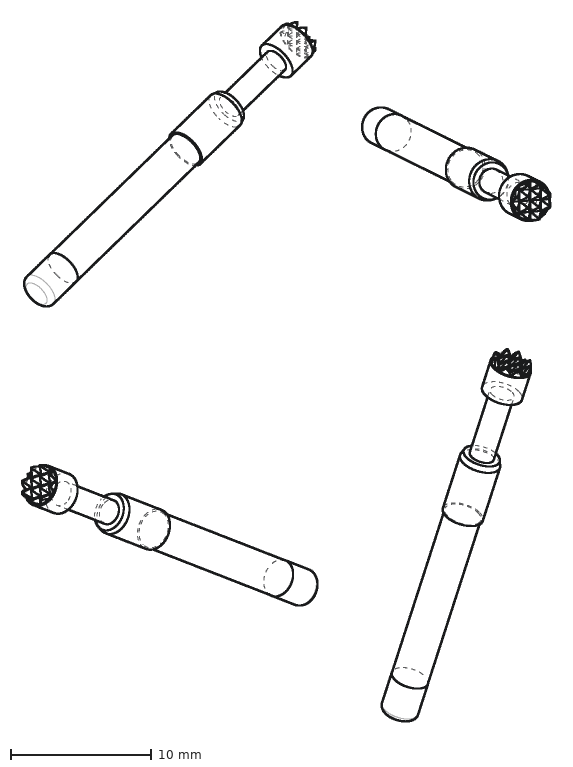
import cadquery as cq


barrel_radius = 1.35
barrel_length = 17.0
tail_radius = 1.36
tail_length = 3.0
tail_fillet = 0.4

collar_radius = 1.5
collar_length = 5.0
collar_nose_radius = 1.35
collar_taper_length = 0.45

plunger_radius = 0.9
tip_reach = 8.3
head_radius = 1.5
head_length = 2.3

teeth_per_row = 4
tooth_pitch = 0.82
tooth_height = 0.64
crown_radius = 1.41

tail_end_y = -barrel_length
tail_front_y = tail_end_y + tail_length
collar_front_y = collar_length
crown_tip_y = collar_front_y + tip_reach
head_front_y = crown_tip_y - tooth_height
head_rear_y = head_front_y - head_length


def make_turned_body():
    """Revolve the stepped half outline about the Y axis."""
    outline = (
        cq.Workplane("XY")
        .moveTo(0, tail_end_y)
        .lineTo(tail_radius - tail_fillet, tail_end_y)
        .radiusArc((tail_radius, tail_end_y + tail_fillet), -tail_fillet)
        .lineTo(tail_radius, tail_front_y)
        .lineTo(barrel_radius, tail_front_y)
        .lineTo(barrel_radius, 0)
        .lineTo(collar_radius, 0)
        .lineTo(collar_radius, collar_front_y - collar_taper_length)
        .lineTo(collar_nose_radius, collar_front_y)
        .lineTo(plunger_radius, collar_front_y)
        .lineTo(plunger_radius, head_rear_y)
        .lineTo(head_radius, head_rear_y)
        .lineTo(head_radius, head_front_y)
        .lineTo(crown_radius, head_front_y)
        .lineTo(crown_radius, crown_tip_y)
        .lineTo(0, crown_tip_y)
        .close()
    )
    return outline.revolve(360, (0, 0, 0), (0, 1, 0))


def make_groove(offset):
    """V-groove running along Z across the whole head, its root at X = offset."""
    half_width = tooth_pitch / 2
    return (
        cq.Workplane("XY")
        .moveTo(offset - half_width, crown_tip_y)
        .lineTo(offset, head_front_y)
        .lineTo(offset + half_width, crown_tip_y)
        .close()
        .extrude(2 * head_radius, both=True)
    )


def cut_crown(body):
    """Cut one groove on each side of every tooth, in both cross directions."""
    for index in range(teeth_per_row + 1):
        groove = make_groove((index - teeth_per_row / 2) * tooth_pitch)
        body = body.cut(groove)
        body = body.cut(groove.rotate((0, 0, 0), (0, 1, 0), 90))
    return body


result = cut_crown(make_turned_body())